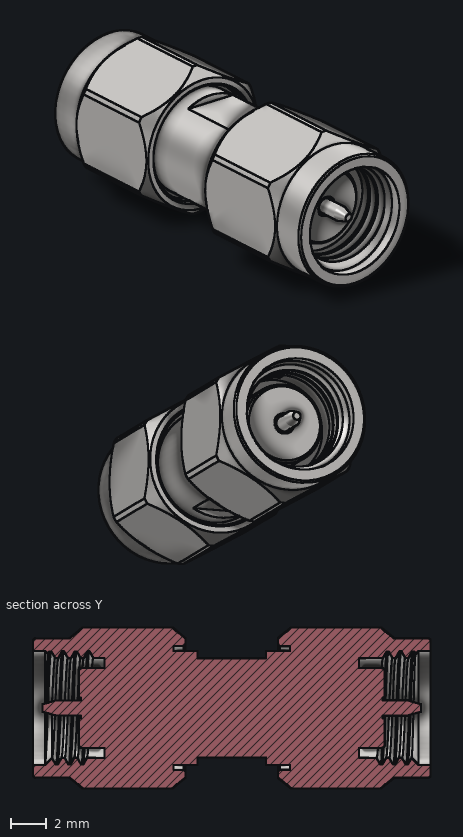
import cadquery as cq
import math

total_length = 22.2
half_length = total_length / 2

nut_length = 8.52
collar_length = 2.05
collar_radius = 3.9
collar_chamfer = 0.1
hex_across_flats = 7.95
hex_half_angle = 30.0
hex_across_corners = 9.0
hex_bevel_length = 0.73
hex_corner_radius = hex_across_corners / 2

entry_radius = 3.17
entry_depth = 0.67
bore_radius = 2.78
bore_depth = 4.0

thread_pitch = 0.7
thread_start = 0.27
thread_start_angle = 180.0
thread_turns = 4
thread_root_radius = 3.15
thread_flank_angle = 30.0
thread_root_width = 0.09
thread_overlap = 0.07

boss_radius = 2.25
boss_chamfer = 0.13
boss_face_depth = 2.55
pin_radius = 0.45
pin_tip_radius = 0.22
pin_tip_depth = 0.53
pin_taper_length = 0.75
pin_gap_radius = 0.58
pin_gap_depth = 0.1

recess_radius = 3.45
recess_depth = 0.67
recess_chamfer = 0.1

barrel_radius = 3.2
barrel_length = total_length - 2 * nut_length
flat_length = 3.82
flat_half_height = 2.78


def tube(start, length, outer_radius, inner_radius=0.0):
    """Cylinder or ring along X from x = start."""
    plane = cq.Workplane("YZ", origin=(start, 0, 0))
    disc = plane.circle(outer_radius)
    if inner_radius > 0:
        disc = disc.circle(inner_radius)
    return disc.extrude(length)


def turned(profile):
    """Solid turned about X from (x, radius) points."""
    return cq.Workplane("XY").polyline(profile).close().revolve(360, (0, 0, 0), (1, 0, 0))


def nut_blank():
    """Round collar and double-bevelled hexagon, outer face at x = 0."""
    collar = tube(0, nut_length, collar_radius).faces("<X").chamfer(collar_chamfer)
    hexagon = (
        cq.Workplane("YZ", origin=(collar_length, 0, 0))
        .polygon(6, hex_across_flats / math.cos(math.radians(hex_half_angle)))
        .extrude(nut_length - collar_length)
        .rotate((0, 0, 0), (1, 0, 0), hex_half_angle)
    )
    bevelled_round = turned([
        (collar_length, 0),
        (collar_length, collar_radius),
        (collar_length + hex_bevel_length, hex_corner_radius),
        (nut_length - hex_bevel_length, hex_corner_radius),
        (nut_length, collar_radius),
        (nut_length, 0),
    ])
    return collar.union(hexagon.intersect(bevelled_round))


def bore_entry():
    """Wide bore entry ending in a 45 degree lead-in to the thread."""
    lead_in_end = entry_depth + entry_radius - bore_radius
    return turned([
        (0, 0),
        (0, entry_radius),
        (entry_depth, entry_radius),
        (lead_in_end, bore_radius),
        (lead_in_end, 0),
    ])


def thread_groove():
    """Right-hand helical groove of trapezoid section along the bore."""
    inner_radius = bore_radius - thread_overlap
    flank_run = (thread_root_radius - inner_radius) * math.tan(math.radians(thread_flank_angle))
    root_half = thread_root_width / 2
    mouth_half = root_half + flank_run
    path = cq.Wire.makeHelix(thread_pitch, thread_pitch * thread_turns, inner_radius)
    groove = (
        cq.Workplane("XZ")
        .polyline([
            (inner_radius, -mouth_half),
            (thread_root_radius, -root_half),
            (thread_root_radius, root_half),
            (inner_radius, mouth_half),
        ])
        .close()
        .sweep(cq.Workplane(path), isFrenet=True)
    )
    groove = groove.rotate((0, 0, 0), (0, 0, 1), thread_start_angle)
    return groove.rotate((0, 0, 0), (0, 1, 0), 90).translate((thread_start, 0, 0))


def contact():
    """Chamfered boss on the bore floor with the tapered centre pin."""
    boss = tube(boss_face_depth, bore_depth - boss_face_depth, boss_radius)
    boss = boss.faces("<X").chamfer(boss_chamfer)
    boss = boss.cut(tube(boss_face_depth, pin_gap_depth, pin_gap_radius))
    pin = turned([
        (pin_tip_depth, 0),
        (pin_tip_depth, pin_tip_radius),
        (pin_tip_depth + pin_taper_length, pin_radius),
        (bore_depth, pin_radius),
        (bore_depth, 0),
    ])
    return boss.union(pin)


def barrel_recess():
    """Ring-shaped clearance around the barrel with a chamfered mouth."""
    floor = nut_length - recess_depth
    return turned([
        (floor, barrel_radius),
        (floor, recess_radius),
        (nut_length - recess_chamfer, recess_radius),
        (nut_length, recess_radius + recess_chamfer),
        (nut_length, barrel_radius),
    ])


def connector_end():
    """Complete nut with its contact, outer face at x = 0 and the barrel towards +X."""
    nut = nut_blank().cut(tube(0, bore_depth, bore_radius)).cut(thread_groove()).cut(bore_entry())
    return nut.cut(barrel_recess()).union(contact())


def barrel():
    """Plain barrel with a wrench flat above and below."""
    body = tube(-barrel_length / 2, barrel_length, barrel_radius)
    flat_depth = barrel_radius - flat_half_height
    for side in (-1, 1):
        cutter = cq.Workplane("XY").box(flat_length, 2 * barrel_radius, flat_depth)
        body = body.cut(cutter.translate((0, 0, side * (flat_half_height + flat_depth / 2))))
    return body


left_end = connector_end().translate((-half_length, 0, 0))
right_end = left_end.rotate((0, 0, 0), (0, 0, 1), 180)
result = barrel().union(left_end).union(right_end)